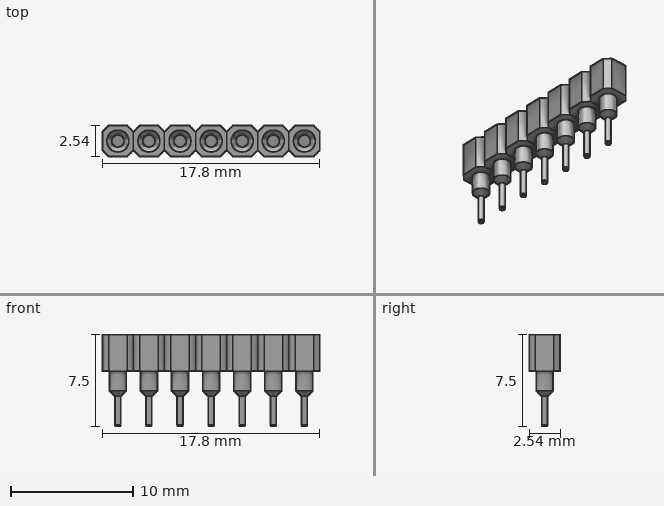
import cadquery as cq

strip_length = 17.78
contact_count = 7
pitch = strip_length / contact_count
total_height = 7.5

head_height = 2.99
head_corner = 0.52

socket_mouth_diameter = 1.8
socket_floor_diameter = 1.0
socket_rim_depth = 0.07
socket_cone_depth = (socket_mouth_diameter - socket_floor_diameter) / 2

barrel_diameter = 1.4
barrel_length = 1.6
pin_diameter = 0.5
taper_length = (barrel_diameter - pin_diameter) / 2
tip_chamfer_width = 0.05
tip_chamfer_length = 0.12


def make_head():
    """Square block with its four upright edges chamfered."""
    return (
        cq.Workplane("XY")
        .box(pitch, pitch, head_height, centered=(True, True, False))
        .edges("|Z")
        .chamfer(head_corner)
    )


def make_stepped_pin():
    """Barrel, conical shoulder and thin pin with a chamfered tip, hanging below Z = 0."""
    barrel_radius = barrel_diameter / 2
    pin_radius = pin_diameter / 2
    barrel_end = -barrel_length
    taper_end = barrel_end - taper_length
    tip_end = head_height - total_height
    half_profile = [
        (0, 0),
        (barrel_radius, 0),
        (barrel_radius, barrel_end),
        (pin_radius, taper_end),
        (pin_radius, tip_end + tip_chamfer_length),
        (pin_radius - tip_chamfer_width, tip_end),
        (0, tip_end),
    ]
    return cq.Workplane("XZ").polyline(half_profile).close().revolve(360, (0, 0), (0, 1))


def make_socket_cutter():
    """Short straight rim above a cone that narrows to a flat floor."""
    mouth_radius = socket_mouth_diameter / 2
    rim_bottom = head_height - socket_rim_depth
    floor = rim_bottom - socket_cone_depth
    half_profile = [
        (0, head_height),
        (mouth_radius, head_height),
        (mouth_radius, rim_bottom),
        (socket_floor_diameter / 2, floor),
        (0, floor),
    ]
    return cq.Workplane("XZ").polyline(half_profile).close().revolve(360, (0, 0), (0, 1))


def make_contact():
    """One complete contact, centred on the Z axis."""
    return make_head().union(make_stepped_pin()).cut(make_socket_cutter())


first_x = -(strip_length - pitch) / 2
contacts = []
for index in range(contact_count):
    contact = make_contact().translate((first_x + index * pitch, 0, 0))
    contacts.append(contact.val())

result = cq.Compound.makeCompound(contacts)